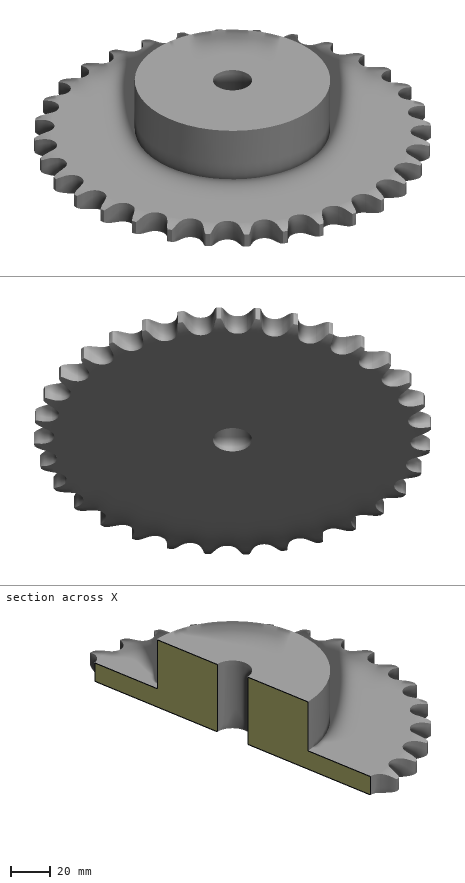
import cadquery as cq
import math

outer_width = 202.5
total_height = 40.0
plate_thickness = 11.1
hub_diameter = 100.0
bore_diameter = 20.0

tooth_count = 32
root_radius = 91.1
seat_radius = 6.0
seat_angle = 53.1
flank_radius = 15.5
flank_sweep = 16.3
flat_length = 1.6
crest_radius = 9.7
relief_radius = 93.2
relief_arc_radius = 19.0

gap_clearance = 4.0

seat_slope = math.radians(90 - seat_angle)
flat_slope = seat_slope - math.radians(flank_sweep)

seat_end_x = root_radius + seat_radius * (1 - math.sin(seat_slope))
seat_end_y = seat_radius * math.cos(seat_slope)

flat_start_x = seat_end_x + flank_radius * (math.sin(seat_slope) - math.sin(flat_slope))
flat_start_y = seat_end_y + flank_radius * (math.cos(flat_slope) - math.cos(seat_slope))

flat_end_x = flat_start_x + flat_length * math.cos(flat_slope)
flat_end_y = flat_start_y + flat_length * math.sin(flat_slope)

tip_x = outer_width / 2
tip_slope = math.asin(math.sin(flat_slope) + (tip_x - flat_end_x) / crest_radius)
tip_y = flat_end_y + crest_radius * (math.cos(flat_slope) - math.cos(tip_slope))
tip_radius = math.hypot(tip_x, tip_y)


def relief_drop(radius):
    """Height lost by the rounded tooth face at a given radius."""
    reach = radius - relief_radius
    return relief_arc_radius - math.sqrt(relief_arc_radius**2 - reach**2)


def make_blank():
    """Revolved plate and hub, with the rim rounded on both faces."""
    mid_radius = (relief_radius + tip_radius) / 2
    mid_drop = relief_drop(mid_radius)
    tip_drop = relief_drop(tip_radius)
    hub_radius = hub_diameter / 2
    bore_radius = bore_diameter / 2
    return (
        cq.Workplane("XZ")
        .moveTo(bore_radius, 0)
        .lineTo(relief_radius, 0)
        .threePointArc((mid_radius, mid_drop), (tip_radius, tip_drop))
        .lineTo(tip_radius, plate_thickness - tip_drop)
        .threePointArc((mid_radius, plate_thickness - mid_drop), (relief_radius, plate_thickness))
        .lineTo(hub_radius, plate_thickness)
        .lineTo(hub_radius, total_height)
        .lineTo(bore_radius, total_height)
        .close()
        .revolve(360, (0, 0, 0), (0, 1, 0))
    )


def make_gap():
    """Cutter for one tooth gap, centred on the +X axis."""
    outside = tip_radius + gap_clearance
    half_gap = (
        cq.Workplane("XY", origin=(0, 0, -gap_clearance))
        .moveTo(root_radius, 0)
        .radiusArc((seat_end_x, seat_end_y), seat_radius)
        .tangentArcPoint((flat_start_x, flat_start_y), relative=False)
        .lineTo(flat_end_x, flat_end_y)
        .tangentArcPoint((tip_x, tip_y), relative=False)
        .lineTo(outside, tip_y)
        .lineTo(outside, 0)
        .close()
        .extrude(plate_thickness + 2 * gap_clearance)
    )
    return half_gap.union(half_gap.mirror("XZ"))


def cut_gaps(blank):
    """Cut the evenly spaced tooth gaps around the rim."""
    gap = make_gap()
    sprocket = blank
    for index in range(tooth_count):
        turn = index * 360 / tooth_count
        sprocket = sprocket.cut(gap.rotate((0, 0, 0), (0, 0, 1), turn))
    return sprocket


result = cut_gaps(make_blank())